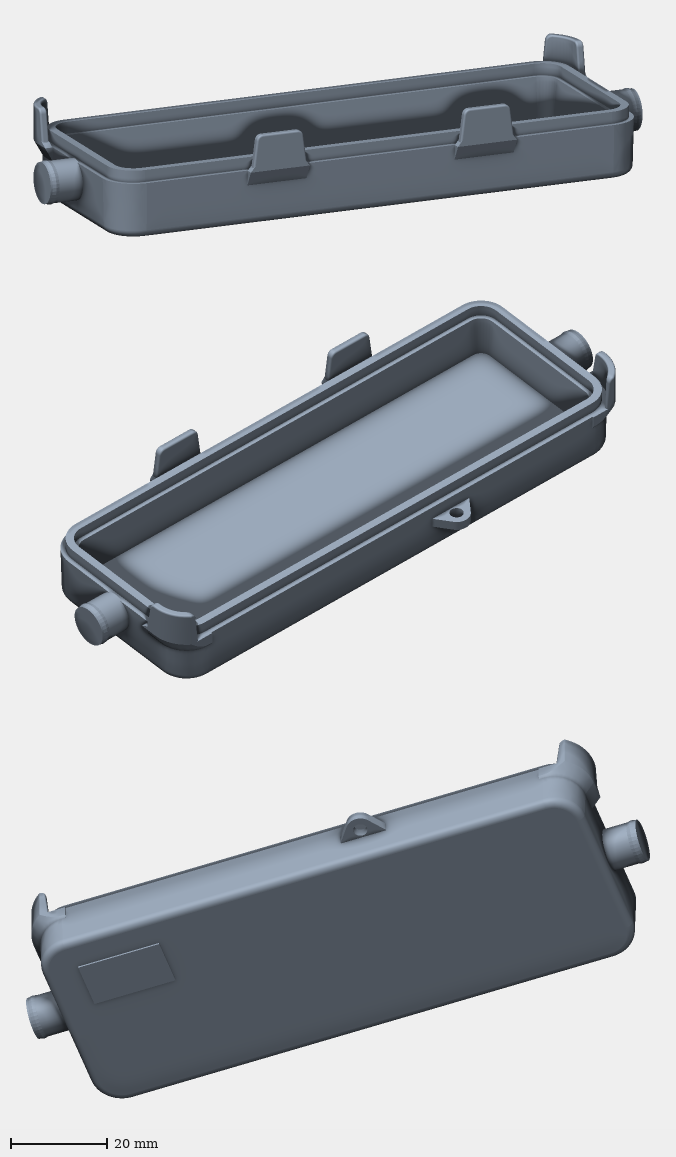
import cadquery as cq
import math

width = 43.3
length = 120.1
corner_radius = 7.0
shoulder_height = 11.8
draft_angle = 1.5
bottom_round = 1.6

rim_top = 14.4
rim_root = 1.3
rim_outer_inset = 1.1
rim_inner_inset = 2.8
pocket_inset = 3.8
pocket_draft = 5.0
floor_height = 3.0

overall_length = 134.5
port_diameter = 8.9
port_height = 7.8
crown_diameter = 9.3
crown_facets = 36
crown_half_length = 0.8
port_tip_length = 0.4
port_root = 0.3

overhang = 1.7
tab_clearance = 0.1
plate_thickness = overhang - tab_clearance
seam_tolerance = 0.01
tab_top = 19.6
tab_foot = 8.6
tab_edge_round = 0.4
tab_corner_round = 1.3
tab_root = 2.0
flare_rise = 0.8

side_tab_spacing = 47.1
side_tab_top_half = 5.1
side_tab_neck_half = 6.0
side_tab_base_half = 6.7

corner_tab_side_overhang = 0.3
corner_tab_x_reach = (4.0, 2.5, 1.3)
corner_tab_y_reach = (-0.8, 3.0, 3.8)

lug_y = -13.5
lug_hole_offset = 1.7
lug_hole_diameter = 3.0
lug_radius = 3.0
lug_base_half = 5.0
lug_bottom = 6.5
lug_thickness = 2.2

pad_size = (10.0, 17.9)
pad_centre = (-9.8, 43.0)
pad_thickness = 0.4

half_width = width / 2
half_length = length / 2
corner_x = half_width - corner_radius
corner_y = half_length - corner_radius


def rounded_prism(inset, bottom, top):
    """Prism whose outline is the shoulder outline moved inwards by inset."""
    return (
        cq.Workplane("XY").workplane(offset=bottom)
        .rect(width - 2 * inset, length - 2 * inset)
        .extrude(top - bottom)
        .edges("|Z").fillet(corner_radius - inset)
    )


def tapered_prism(inset, top, depth, angle):
    """Prism narrowing downwards from an inset shoulder outline at height top."""
    outline = cq.Sketch().rect(width - 2 * inset, length - 2 * inset)
    outline = outline.vertices().fillet(corner_radius - inset)
    return cq.Workplane("XY").workplane(offset=top).placeSketch(outline).extrude(-depth, taper=angle)


def make_tray():
    body = tapered_prism(0, shoulder_height, shoulder_height, draft_angle)
    body = body.faces("<Z").edges().fillet(bottom_round)
    rim = rounded_prism(rim_outer_inset, shoulder_height - rim_root, rim_top)
    seat = rounded_prism(rim_inner_inset, shoulder_height, rim_top)
    pocket = tapered_prism(pocket_inset, shoulder_height, shoulder_height - floor_height, pocket_draft)
    return body.union(rim).cut(seat).cut(pocket)


def make_port():
    """Port on the +Y end: plain stub with a faceted crown behind its tip."""
    start = half_length - port_root
    end = overall_length / 2
    stub = (
        cq.Workplane("XZ", origin=(0, start, port_height))
        .circle(port_diameter / 2)
        .extrude(start - end)
    )
    ridge = end - port_tip_length - crown_half_length
    for direction in (1, -1):
        cone = (
            cq.Workplane("XZ", origin=(0, ridge, port_height))
            .polygon(crown_facets, crown_diameter)
            .workplane(offset=direction * crown_half_length)
            .polygon(crown_facets, port_diameter)
            .loft(ruled=True)
        )
        stub = stub.union(cone)
    return stub


def tab_section(plane, origin, edge):
    """Tab cross-section: upright plate on a wedge that runs down into the wall."""
    outer = edge + overhang
    wall_slope_at_foot = (shoulder_height - tab_foot) * math.tan(math.radians(draft_angle))
    return (
        cq.Workplane(plane, origin=origin)
        .moveTo(edge - tab_root, tab_foot)
        .lineTo(edge - wall_slope_at_foot, tab_foot)
        .lineTo(outer, shoulder_height)
        .lineTo(outer, tab_top)
        .lineTo(edge + tab_clearance, tab_top)
        .lineTo(edge + tab_clearance, shoulder_height)
        .lineTo(edge - tab_root, shoulder_height)
        .close()
    )


def round_tab_edges(tab, wall_distance):
    """Round the border of the upright plate on both its faces.

    wall_distance(point) measures how far outwards a point lies, so an edge that
    starts and ends at the same distance stays on one face of the plate.
    """
    def on_border(edge):
        centre = edge.Center()
        crossing = abs(wall_distance(edge.startPoint()) - wall_distance(edge.endPoint()))
        on_bend_seam = abs(centre.x + corner_x) < seam_tolerance
        above_fold = centre.z > shoulder_height + flare_rise
        return above_fold and not on_bend_seam and crossing < plate_thickness / 2

    return tab.edges().filter(on_border).fillet(tab_edge_round)


def make_side_tab(y):
    plate = tab_section("XZ", (0, y, 0), half_width).extrude(side_tab_base_half, both=True)
    flare_top = shoulder_height + flare_rise
    outline = (
        cq.Workplane("YZ", origin=(0, y, 0))
        .moveTo(-side_tab_base_half, tab_foot)
        .lineTo(-side_tab_base_half, shoulder_height)
        .lineTo(-side_tab_neck_half, flare_top)
        .lineTo(-side_tab_top_half, tab_top)
        .lineTo(side_tab_top_half, tab_top)
        .lineTo(side_tab_neck_half, flare_top)
        .lineTo(side_tab_base_half, shoulder_height)
        .lineTo(side_tab_base_half, tab_foot)
        .close()
        .extrude(width)
        .edges("|X and >Z").fillet(tab_corner_round)
    )
    return round_tab_edges(plate.intersect(outline), lambda point: point.x)


def make_corner_tab():
    """Tab wrapped around the -X, +Y corner."""
    centre = (-corner_x, corner_y, 0)
    base_x, neck_x, top_x = corner_tab_x_reach
    base_y, neck_y, top_y = corner_tab_y_reach
    bend = tab_section("XZ", centre, corner_radius).revolve(90, (0, 0, 0), (0, 1, 0))
    bend = bend.rotate(centre, (centre[0], centre[1], 1), 90)
    end_run = tab_section("YZ", centre, corner_radius).extrude(base_x)
    side_run = tab_section("XZ", centre, corner_radius).extrude(-base_y)
    side_run = side_run.mirror("YZ", centre)
    band = bend.union(end_run).union(side_run)

    reach = 2 * corner_radius
    flare_top = shoulder_height + flare_rise
    x_limit = (
        cq.Workplane("XZ", origin=(-corner_x, corner_y - reach, 0))
        .moveTo(-corner_radius - corner_tab_side_overhang, tab_foot)
        .lineTo(base_x, tab_foot)
        .lineTo(base_x, shoulder_height)
        .lineTo(neck_x, flare_top)
        .lineTo(top_x, tab_top)
        .lineTo(-corner_radius - corner_tab_side_overhang, tab_top)
        .close()
        .extrude(-2 * reach)
        .edges("|Y").edges(">Z").edges(">X").fillet(tab_corner_round)
    )
    y_limit = (
        cq.Workplane("YZ", origin=(-corner_x - reach, corner_y, 0))
        .moveTo(base_y, tab_foot)
        .lineTo(base_y, shoulder_height)
        .lineTo(neck_y, shoulder_height)
        .lineTo(top_y, tab_top)
        .lineTo(reach, tab_top)
        .lineTo(reach, tab_foot)
        .close()
        .extrude(2 * reach)
        .edges("|X").edges(">Z").edges("<Y").fillet(tab_corner_round)
    )

    def wall_distance(point):
        return math.hypot(min(point.x + corner_x, 0), point.y - corner_y)

    return round_tab_edges(band.intersect(x_limit).intersect(y_limit), wall_distance)


def make_lug():
    """Flat lug whose straight flanks run tangent to its round nose."""
    flank = math.hypot(lug_hole_offset, lug_base_half)
    tangent_angle = math.atan2(lug_base_half, lug_hole_offset) + math.acos(lug_radius / flank)
    touch_x = lug_radius * math.cos(tangent_angle)
    touch_y = lug_radius * math.sin(tangent_angle)
    root = lug_hole_offset + rim_outer_inset
    hole_centre = cq.Workplane("XY", origin=(-half_width - lug_hole_offset, lug_y, lug_bottom))
    plate = (
        hole_centre
        .moveTo(root, -lug_base_half)
        .lineTo(lug_hole_offset, -lug_base_half)
        .lineTo(touch_x, -touch_y)
        .threePointArc((-lug_radius, 0), (touch_x, touch_y))
        .lineTo(lug_hole_offset, lug_base_half)
        .lineTo(root, lug_base_half)
        .close()
        .extrude(lug_thickness)
    )
    return plate.cut(hole_centre.circle(lug_hole_diameter / 2).extrude(lug_thickness))


label_pad = (
    cq.Workplane("XY", origin=(*pad_centre, -pad_thickness))
    .rect(*pad_size)
    .extrude(2 * pad_thickness)
)

result = make_tray().union(label_pad).union(make_lug())
for end_feature in (make_port(), make_corner_tab()):
    result = result.union(end_feature).union(end_feature.mirror("XZ"))
for side in (-1, 1):
    result = result.union(make_side_tab(side * side_tab_spacing / 2))